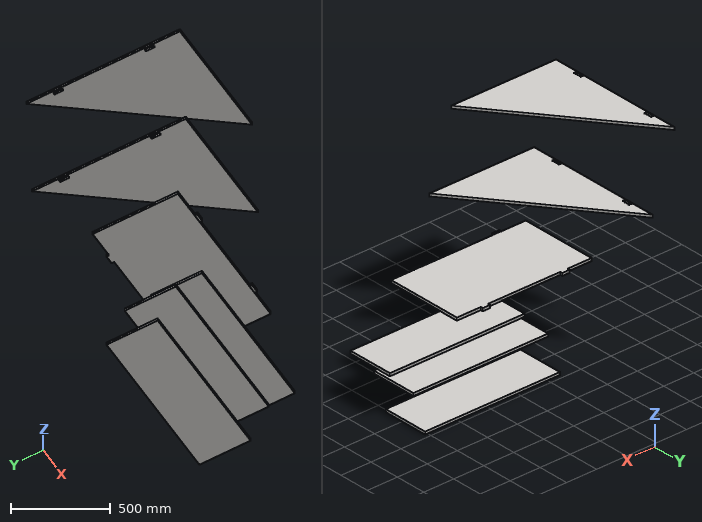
import cadquery as cq

thickness = 18.0
panel_length = 900.0
shelf_depth = 300.0
table_depth = 500.0
gusset_width = 700.0

tongue_length = 50.0
tongue_depth = 15.0
tongue_inset = 160.0
loose_tongue_shift = 3.0

slot_length = 52.0
slot_inset = 160.0
slot_spacing = 535.0
slot_right = 22.0
upper_slot_width = 15.0
lower_slot_width = 13.0

shelf_corners = [
    (751.0, 585.0, 0),
    (718.0, 458.0, 155.0),
    (766.0, 335.0, 235.0),
]
table_corner = (451.0, 285.0, 501.0)
gusset_corners = [
    (246.0, 115.0, 773.0),
    (0, 0, 1136.0),
]


def make_block(length, depth, corner):
    """Rectangular piece of sheet with its lower corner at the given point."""
    return cq.Workplane("XY").box(length, depth, thickness, centered=False).translate(corner)


def make_shelf(corner):
    return make_block(panel_length, shelf_depth, corner)


def make_table(corner):
    """Wide panel with two tongues in one piece with its rear edge."""
    x, y, z = corner
    table = make_block(panel_length, table_depth, corner)
    for offset in (tongue_inset, panel_length - tongue_inset - tongue_length):
        rear_tongue = make_block(tongue_length, tongue_depth, (x + offset, y + table_depth, z))
        table = table.union(rear_tongue)
    return table


def make_loose_tongue(offset):
    """Separate tongue that butts against the front edge of the table."""
    x, y, z = table_corner
    return make_block(tongue_length, tongue_depth, (x + offset, y - tongue_depth, z))


def make_gusset(corner):
    """Right-angled triangular panel with two through slots."""
    gusset = (
        cq.Workplane("XY")
        .polyline([(0, 0), (gusset_width, 0), (0, panel_length)])
        .close()
        .extrude(thickness)
    )
    slots = [
        (slot_inset, lower_slot_width),
        (slot_inset + slot_spacing, upper_slot_width),
    ]
    for start, width in slots:
        gusset = gusset.cut(make_block(width, slot_length, (slot_right - width, start, 0)))
    return gusset.translate(corner)


shelves = [make_shelf(corner) for corner in shelf_corners]
table = make_table(table_corner)

first_loose_offset = tongue_inset + loose_tongue_shift
last_loose_offset = panel_length - tongue_inset - tongue_length + loose_tongue_shift
loose_tongues = [make_loose_tongue(offset) for offset in (first_loose_offset, last_loose_offset)]

gussets = [make_gusset(corner) for corner in gusset_corners]

bodies = [*shelves, table, *loose_tongues, *gussets]
result = cq.Compound.makeCompound([body.val() for body in bodies])